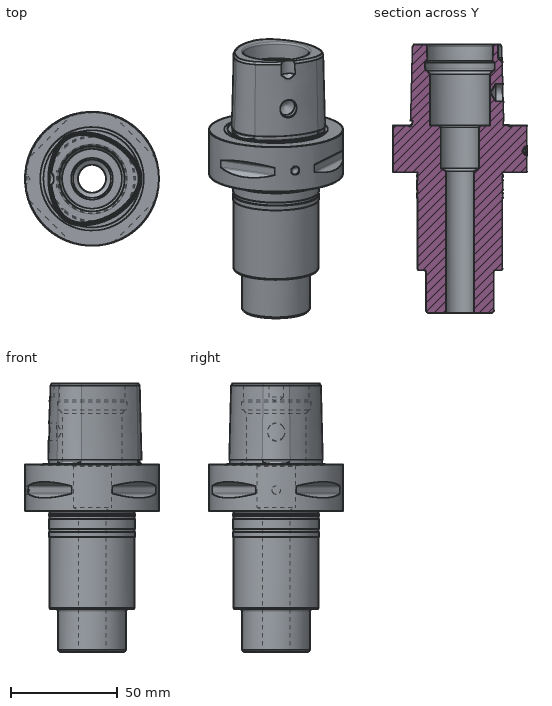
import math
import cadquery as cq


SHANK_HEIGHT = 38.0
FLANGE_BOTTOM = -22.0
BODY_BOTTOM = -68.0
NOSE_BOTTOM = -88.0

FLANGE_RADIUS = 63.0 / 2
FLANGE_CHAMFER = 0.4
FLANGE_TOP_CHAMFER = 0.2
BODY_RADIUS = 40.0 / 2
BODY_CHAMFER_WIDTH = 0.5
BODY_CHAMFER_HEIGHT = 0.7
NOSE_RADIUS = 32.0 / 2
NOSE_CHAMFER = 1.0
NOSE_FILLET = 0.7

BAND_RADIUS = 40.5 / 2
BANDS = [(-23.0, -24.3), (-25.5, -30.3), (-31.5, -34.1)]

SHANK_BASE_WIDTH = 44.0
SHANK_TAPER = 1 / 20
LOBE_OFFSET = 10.2
SHANK_BASE_Z = 2.2
TIP_CHAMFER_WIDTH = 0.7
TIP_CHAMFER_HEIGHT = 1.2

NECK_INSET = 0.25
NECK_RADIUS = 22.4
NECK_FILLET = 1.1
COLLAR_RADIUS = 22.8
COLLAR_HEIGHT = 0.3
COLLAR_GROOVE_RADIUS = 24.3
COLLAR_GROOVE_DEPTH = 0.4

MOUTH_FILLET = 0.85
UPPER_BORE_TOP_RADIUS = 15.5
UPPER_BORE_BOTTOM_RADIUS = 15.3
GROOVE_RADIUS = 16.3
GROOVE_TOP_DEPTH = 7.7
GROOVE_FILLET = 1.0
SEAT_DEPTH = 12.3
LOWER_BORE_RADIUS = 28.0 / 2
LOWER_BORE_START_DEPTH = 14.1
LOWER_BORE_DEPTH = 38.0
THREAD_RADIUS = 17.84 / 2
THREAD_MOUTH_RADIUS = 9.8
THREAD_DEPTH = 20.0
THROUGH_RADIUS = 13.0 / 2

SLOT_Z = -11.9
SLOT_FLOOR_DISTANCE = 28.0
SLOT_FLOOR_HEIGHT = 3.5
SLOT_SIDE_ANGLE = 30.0
SLOT_FILLET = 0.5
SLOT_DIRECTIONS = [45, 135, 225, 315]

DRILL_TIP_ANGLE = 118.0
SHANK_HOLE_RADIUS = 8.1 / 2
SHANK_HOLE_Z = 15.4
SHANK_HOLE_BOTTOM_X = -16.7
SHANK_COUNTERSINK_X = -20.05
FLANGE_HOLE_RADIUS = 4.0 / 2
FLANGE_HOLE_BOTTOM_X = -30.5
NOTCH_RADIUS = 8.1 / 2
NOTCH_AXIS_X = -21.9
NOTCH_DEPTH = 6.2
NOTCH_TIP_HEIGHT = NOTCH_RADIUS


def polar(radius, angle):
    return (radius * math.cos(math.radians(angle)), radius * math.sin(math.radians(angle)))


def revolve(points):
    """Solid of revolution about Z from (radius, z) points."""
    return cq.Workplane("XZ").polyline(points).close().revolve(360, (0, 0), (0, 1))


def fillet_reach(radius):
    """Offset of a quarter arc's middle point from each of the two lines it rounds between."""
    return radius * (1 - math.sqrt(0.5))


def revolve_about_x(points, z):
    """Solid of revolution about the line parallel to X at height z, from (x, radius) points."""
    return cq.Workplane("XY").polyline(points).close().revolve(360, (0, 0), (1, 0)).translate((0, 0, z))


def shank_width(z):
    return SHANK_BASE_WIDTH - SHANK_TAPER * (z - SHANK_BASE_Z)


def lobed_outline(workplane, width):
    """Six tangent arcs: a lobe every 120 degrees, starting at +X, and a wide flank opposite each."""
    lobe_radius = (width - LOBE_OFFSET * math.sqrt(3)) / 2
    flank_radius = width - lobe_radius

    def arc_point(center_angle, radius, direction):
        center_x, center_y = polar(LOBE_OFFSET, center_angle)
        x, y = polar(radius, direction)
        return (center_x + x, center_y + y)

    outline = workplane.moveTo(*arc_point(0, lobe_radius, -30))
    for lobe in (0, 120, 240):
        outline = outline.threePointArc(
            arc_point(lobe, lobe_radius, lobe), arc_point(lobe, lobe_radius, lobe + 30)
        )
        flank = lobe + 60
        outline = outline.threePointArc(
            arc_point(flank + 180, flank_radius, flank), arc_point(flank + 180, flank_radius, flank + 30)
        )
    return outline.close()


def lobed_frustum(bottom_z, bottom_width, top_z, top_width):
    bottom = lobed_outline(cq.Workplane("XY").workplane(offset=bottom_z), bottom_width)
    return lobed_outline(bottom.workplane(offset=top_z - bottom_z), top_width).loft(ruled=True)


def make_shank():
    chamfer_z = SHANK_HEIGHT - TIP_CHAMFER_HEIGHT
    chamfer_width = shank_width(chamfer_z)
    taper = lobed_frustum(SHANK_BASE_Z, SHANK_BASE_WIDTH, chamfer_z, chamfer_width)
    tip = lobed_frustum(chamfer_z, chamfer_width, SHANK_HEIGHT, chamfer_width - 2 * TIP_CHAMFER_WIDTH)
    return taper.union(tip)


def make_neck():
    """Lobed prism with its lobes turned down, flaring out to the collar at its foot."""
    neck_width = SHANK_BASE_WIDTH - 2 * NECK_INSET
    prism = lobed_outline(cq.Workplane("XY"), neck_width).extrude(SHANK_BASE_Z)
    fillet_top = COLLAR_HEIGHT + NECK_FILLET
    reach = fillet_reach(NECK_FILLET)
    turned = (
        cq.Workplane("XZ")
        .lineTo(NECK_RADIUS + NECK_FILLET, 0)
        .lineTo(NECK_RADIUS + NECK_FILLET, COLLAR_HEIGHT)
        .threePointArc((NECK_RADIUS + reach, COLLAR_HEIGHT + reach), (NECK_RADIUS, fillet_top))
        .lineTo(NECK_RADIUS, SHANK_BASE_Z)
        .lineTo(0, SHANK_BASE_Z)
        .close()
        .revolve(360, (0, 0), (0, 1))
    )
    return prism.intersect(turned)


def make_round_body():
    """Collar, flange, body and nose turned as one profile."""
    groove_middle = (COLLAR_RADIUS + COLLAR_GROOVE_RADIUS) / 2
    reach = fillet_reach(NOSE_FILLET)
    return (
        cq.Workplane("XZ")
        .moveTo(0, COLLAR_HEIGHT)
        .lineTo(COLLAR_RADIUS, COLLAR_HEIGHT)
        .lineTo(COLLAR_RADIUS, 0)
        .threePointArc((groove_middle, -COLLAR_GROOVE_DEPTH), (COLLAR_GROOVE_RADIUS, 0))
        .lineTo(FLANGE_RADIUS - FLANGE_TOP_CHAMFER, 0)
        .lineTo(FLANGE_RADIUS, -FLANGE_TOP_CHAMFER)
        .lineTo(FLANGE_RADIUS, FLANGE_BOTTOM + FLANGE_CHAMFER)
        .lineTo(FLANGE_RADIUS - FLANGE_CHAMFER, FLANGE_BOTTOM)
        .lineTo(BODY_RADIUS, FLANGE_BOTTOM)
        .lineTo(BODY_RADIUS, BODY_BOTTOM + BODY_CHAMFER_HEIGHT)
        .lineTo(BODY_RADIUS - BODY_CHAMFER_WIDTH, BODY_BOTTOM)
        .lineTo(NOSE_RADIUS + NOSE_FILLET, BODY_BOTTOM)
        .threePointArc(
            (NOSE_RADIUS + reach, BODY_BOTTOM - reach),
            (NOSE_RADIUS, BODY_BOTTOM - NOSE_FILLET),
        )
        .lineTo(NOSE_RADIUS, NOSE_BOTTOM + NOSE_CHAMFER)
        .lineTo(NOSE_RADIUS - NOSE_CHAMFER, NOSE_BOTTOM)
        .lineTo(0, NOSE_BOTTOM)
        .close()
        .revolve(360, (0, 0), (0, 1))
    )


def make_band(top, bottom):
    """Ring standing slightly proud of the body, with 45 degree ends."""
    rise = BAND_RADIUS - BODY_RADIUS
    return revolve(
        [
            (0, top),
            (BODY_RADIUS, top),
            (BAND_RADIUS, top - rise),
            (BAND_RADIUS, bottom + rise),
            (BODY_RADIUS, bottom),
            (0, bottom),
        ]
    )


def make_bore():
    """Stepped bore through the whole part, open at both ends."""
    mouth_reach = fillet_reach(MOUTH_FILLET)
    groove_flank = GROOVE_RADIUS - UPPER_BORE_BOTTOM_RADIUS
    groove_fillet_reach = fillet_reach(GROOVE_FILLET)
    groove_fillet_top = SEAT_DEPTH - GROOVE_FILLET
    seat_radius = GROOVE_RADIUS - GROOVE_FILLET
    thread_chamfer = THREAD_MOUTH_RADIUS - THREAD_RADIUS
    thread_bottom = LOWER_BORE_DEPTH + THREAD_DEPTH
    thread_tip = (THREAD_RADIUS - THROUGH_RADIUS) / math.tan(math.radians(DRILL_TIP_ANGLE / 2))
    return (
        cq.Workplane("XZ", origin=(0, 0, SHANK_HEIGHT))
        .lineTo(UPPER_BORE_TOP_RADIUS + MOUTH_FILLET, 0)
        .threePointArc(
            (UPPER_BORE_TOP_RADIUS + mouth_reach, -mouth_reach), (UPPER_BORE_TOP_RADIUS, -MOUTH_FILLET)
        )
        .lineTo(UPPER_BORE_BOTTOM_RADIUS, -GROOVE_TOP_DEPTH)
        .lineTo(GROOVE_RADIUS, -GROOVE_TOP_DEPTH - groove_flank)
        .lineTo(GROOVE_RADIUS, -groove_fillet_top)
        .threePointArc(
            (GROOVE_RADIUS - groove_fillet_reach, -SEAT_DEPTH + groove_fillet_reach),
            (seat_radius, -SEAT_DEPTH),
        )
        .lineTo(LOWER_BORE_RADIUS, -LOWER_BORE_START_DEPTH)
        .lineTo(LOWER_BORE_RADIUS, -LOWER_BORE_DEPTH)
        .lineTo(THREAD_MOUTH_RADIUS, -LOWER_BORE_DEPTH)
        .lineTo(THREAD_RADIUS, -LOWER_BORE_DEPTH - thread_chamfer)
        .lineTo(THREAD_RADIUS, -thread_bottom)
        .lineTo(THROUGH_RADIUS, -thread_bottom - thread_tip)
        .lineTo(THROUGH_RADIUS, NOSE_BOTTOM - SHANK_HEIGHT)
        .lineTo(0, NOSE_BOTTOM - SHANK_HEIGHT)
        .close()
        .revolve(360, (0, 0), (0, 1))
    )


def make_gripper_slot(direction):
    """Straight flat-floored slot with sloping sides, cut across the flange rim."""
    depth = FLANGE_RADIUS - SLOT_FLOOR_DISTANCE
    floor_half = SLOT_FLOOR_HEIGHT / 2
    mouth_half = floor_half + depth * math.tan(math.radians(SLOT_SIDE_ANGLE))
    return (
        cq.Workplane("XZ")
        .polyline(
            [
                (SLOT_FLOOR_DISTANCE, SLOT_Z - floor_half),
                (FLANGE_RADIUS, SLOT_Z - mouth_half),
                (FLANGE_RADIUS, SLOT_Z + mouth_half),
                (SLOT_FLOOR_DISTANCE, SLOT_Z + floor_half),
            ]
        )
        .close()
        .extrude(FLANGE_RADIUS, both=True)
        .faces("<X")
        .edges("|Y")
        .fillet(SLOT_FILLET)
        .rotate((0, 0, 0), (0, 0, 1), direction)
    )


def make_side_hole(radius, z, bottom_x):
    """Blind hole along X from the -X side; its drill tip starts at bottom_x."""
    tip_length = radius / math.tan(math.radians(DRILL_TIP_ANGLE / 2))
    return revolve_about_x(
        [
            (-FLANGE_RADIUS, 0),
            (-FLANGE_RADIUS, radius),
            (bottom_x, radius),
            (bottom_x + tip_length, 0),
        ],
        z,
    )


def make_shank_countersink():
    """Shallow 45 degree countersink at the mouth of the shank hole."""
    mouth_x = -SHANK_BASE_WIDTH / 2
    length = SHANK_COUNTERSINK_X - mouth_x
    return revolve_about_x(
        [
            (mouth_x, 0),
            (mouth_x, SHANK_HOLE_RADIUS + length),
            (SHANK_COUNTERSINK_X, SHANK_HOLE_RADIUS),
            (SHANK_COUNTERSINK_X, 0),
        ],
        SHANK_HOLE_Z,
    )


def make_notch():
    """Vertical cone-tipped hole that breaks out through the -X flank at the shank tip."""
    tip_start = SHANK_HEIGHT - NOTCH_DEPTH
    return revolve(
        [
            (0, SHANK_HEIGHT),
            (NOTCH_RADIUS, SHANK_HEIGHT),
            (NOTCH_RADIUS, tip_start),
            (0, tip_start - NOTCH_TIP_HEIGHT),
        ]
    ).translate((NOTCH_AXIS_X, 0, 0))


result = make_round_body().union(make_neck()).union(make_shank())
for band_top, band_bottom in BANDS:
    result = result.union(make_band(band_top, band_bottom))
result = result.cut(make_bore())
for slot_direction in SLOT_DIRECTIONS:
    result = result.cut(make_gripper_slot(slot_direction))
result = result.cut(make_side_hole(SHANK_HOLE_RADIUS, SHANK_HOLE_Z, SHANK_HOLE_BOTTOM_X))
result = result.cut(make_side_hole(FLANGE_HOLE_RADIUS, SLOT_Z, FLANGE_HOLE_BOTTOM_X))
result = result.cut(make_shank_countersink())
result = result.cut(make_notch())